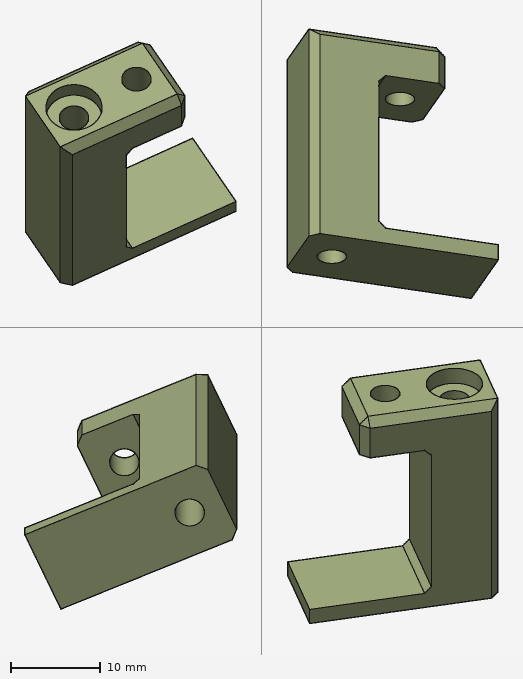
import cadquery as cq

width = 10.0
depth = 22.0
height = 26.1

arm_length = 16.0
arm_thickness = 4.99
column_depth = 7.93
foot_thickness = 1.9
inner_bevel = 0.78
edge_bevel = 1.0

hole_diameter = 3.3
counterbore_diameter = 6.3
counterbore_depth = 2.0
column_hole_y = 4.0
arm_hole_y = 12.0


def block(length, thickness, bottom):
    """Box of full width, starting at the front face and centred on X."""
    return (
        cq.Workplane("XY", origin=(0, 0, bottom))
        .box(width, length, thickness, centered=(True, False, False))
    )


def vertical_cylinder(diameter, y, bottom, length):
    return cq.Workplane("XY", origin=(0, y, bottom)).circle(diameter / 2).extrude(length)


arm_bottom = height - arm_thickness
upper_body = (
    block(arm_length, height, 0)
    .edges("|Z or (>Z and (not <Y))")
    .chamfer(edge_bevel)
)

foot = block(depth - column_depth, foot_thickness, 0).translate((0, column_depth, 0))

opening = (
    block(depth, arm_bottom - foot_thickness, foot_thickness)
    .translate((0, column_depth, 0))
    .edges("|X and <Y")
    .chamfer(inner_bevel)
)
bracket = upper_body.union(foot).cut(opening)

bracket = bracket.cut(vertical_cylinder(hole_diameter, column_hole_y, 0, height))
bracket = bracket.cut(
    vertical_cylinder(counterbore_diameter, column_hole_y, height - counterbore_depth, counterbore_depth)
)

result = bracket.cut(vertical_cylinder(hole_diameter, arm_hole_y, arm_bottom, arm_thickness))